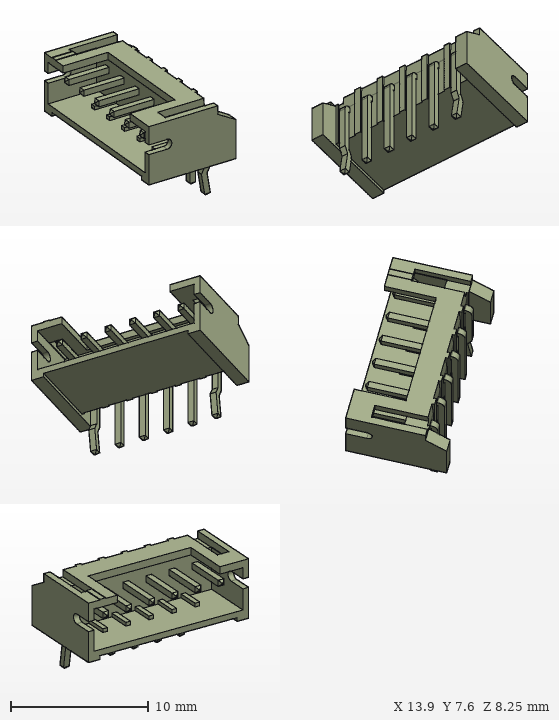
import cadquery as cq


width = 13.9
shroud_depth = 6.0
total_depth = 7.6
height = 4.8
foot_width = 1.0
foot_height = 0.3

back_top_y = 5.8
back_bottom_y = 5.9
back_lean_z = 3.5
back_corner_width = 1.2

arm_width = foot_width
arm_front_height = 4.1
arm_rear_height = 3.2

wall = 0.5
cavity_floor = 0.8
roof_thickness = 0.6
cavity_ceiling = height - roof_thickness
cavity_depth = 4.2

notch_width = 8.9
notch_depth = 3.9
channel_inner_x = 5.4
channel_outer_x = 6.4
channel_front_y = 1.8

slot_bottom = 2.5
slot_top = 3.3
slot_depth = 2.0

floor_rib_width = 0.4
floor_rib_height = 0.3
floor_rib_front_y = 2.32
back_rib_width = 0.5

marker_center_x = -5.7
marker_width = 0.5
marker_height = 0.05

pin_count = 6
pitch = 2.0
pin_size = 0.5
pin_center_z = 3.1
pin_front_y = 0.5
pin_tip_z = -3.4
taper_length = 0.2
tip_size = 0.1
leg_front_y = 6.0
kink_start_z = -0.92
kink_peak_z = -1.5
kink_offset = 0.31
kink_tip_offset = 0.03
bend_radius = 0.53

leg_rear_y = leg_front_y + pin_size
leg_taper_z = pin_tip_z + taper_length
pin_top_z = pin_center_z + pin_size / 2
pin_bottom_z = pin_center_z - pin_size / 2


def box(x0, x1, y0, y1, z0, z1):
    """Block between the given limits."""
    return cq.Workplane("XY").box(x1 - x0, y1 - y0, z1 - z0, centered=False).translate((x0, y0, z0))


def centered_box(x, size_x, y0, y1, z0, z1):
    """Block of width size_x centred on x."""
    return box(x - size_x / 2, x + size_x / 2, y0, y1, z0, z1)


def side_profile(points, x0, x1):
    """Closed (y, z) outline extruded from x0 to x1."""
    return cq.Workplane("YZ").workplane(offset=x0).polyline(points).close().extrude(x1 - x0)


def both_sides(shape):
    """The shape together with its mirror image in X."""
    return shape.union(shape.mirror("YZ"))


def row_positions(count):
    """X positions of evenly pitched items centred on the row."""
    return [(i - (count - 1) / 2) * pitch for i in range(count)]


def make_shell():
    """Solid shroud block with feet, rear corners and rear arms."""
    half = width / 2
    core_outline = [
        (0, foot_height),
        (back_bottom_y, foot_height),
        (back_bottom_y, back_lean_z),
        (back_top_y, height),
        (0, height),
    ]
    shell = side_profile(core_outline, -half, half)
    foot = box(half - foot_width, half, 0, shroud_depth, 0, cavity_floor)
    corner = box(half - back_corner_width, half, cavity_depth, shroud_depth, foot_height, height)
    arm_outline = [
        (cavity_depth, 0),
        (total_depth, 0),
        (total_depth, arm_rear_height),
        (shroud_depth, arm_front_height),
        (cavity_depth, arm_front_height),
    ]
    arm = side_profile(arm_outline, half - arm_width, half)
    return shell.union(both_sides(foot.union(corner).union(arm)))


def cut_openings(shell):
    """Remove the cavity, the roof notch, the roof channels and the side slots."""
    half = width / 2
    cavity = centered_box(0, width - 2 * wall, 0, cavity_depth, cavity_floor, cavity_ceiling)
    notch = centered_box(0, notch_width, 0, notch_depth, cavity_ceiling, height)
    channel = box(channel_inner_x, channel_outer_x, channel_front_y, shroud_depth, cavity_ceiling, height)
    radius = (slot_top - slot_bottom) / 2
    slot = (
        cq.Workplane("YZ")
        .workplane(offset=half - wall)
        .moveTo(0, slot_bottom)
        .lineTo(slot_depth - radius, slot_bottom)
        .threePointArc((slot_depth, slot_bottom + radius), (slot_depth - radius, slot_top))
        .lineTo(0, slot_top)
        .close()
        .extrude(wall)
    )
    return shell.cut(cavity).cut(notch).cut(both_sides(channel.union(slot)))


def add_ribs(housing):
    """Add a floor rib and a back-wall rib between each pair of neighbouring pins."""
    floor_rib_top = cavity_floor + floor_rib_height
    for x in row_positions(pin_count - 1):
        floor_rib = centered_box(
            x, floor_rib_width, floor_rib_front_y, cavity_depth, cavity_floor, floor_rib_top
        )
        back_rib = centered_box(x, back_rib_width, cavity_depth, shroud_depth, foot_height, height)
        housing = housing.union(floor_rib).union(back_rib)
    return housing


def add_marker(housing):
    """Add the first-pin bar on the roof."""
    marker_top = height + marker_height
    marker = centered_box(marker_center_x, marker_width, 0, channel_front_y, height, marker_top)
    return housing.union(marker)


def make_tip(plane):
    """Tapered pin end, extruded along the normal of a plane at the base of the taper."""
    return plane.rect(pin_size, pin_size).workplane(offset=taper_length).rect(tip_size, tip_size).loft()


def make_pin(x, kinked):
    """Right-angle pin; a kinked leg bulges forward to grip the board."""
    tip_shift = kink_tip_offset if kinked else 0
    front = [(leg_front_y - tip_shift, leg_taper_z)]
    rear = [(leg_rear_y - tip_shift, leg_taper_z)]
    if kinked:
        front += [(leg_front_y - kink_offset, kink_peak_z), (leg_front_y, kink_start_z)]
        rear += [(leg_rear_y - kink_offset, kink_peak_z), (leg_rear_y, kink_start_z)]
    taper_y = pin_front_y + taper_length
    pin = (
        cq.Workplane("YZ")
        .workplane(offset=x - pin_size / 2)
        .polyline(front + [(leg_front_y, pin_bottom_z), (taper_y, pin_bottom_z), (taper_y, pin_top_z)])
        .lineTo(leg_rear_y - bend_radius, pin_top_z)
        .radiusArc((leg_rear_y, pin_top_z - bend_radius), bend_radius)
        .polyline(rear[::-1], includeCurrent=True)
        .close()
        .extrude(pin_size)
    )
    front_base = cq.Workplane("XZ", origin=(x, taper_y, pin_center_z))
    leg_base = cq.Workplane("XY", origin=(x, leg_front_y - tip_shift + pin_size / 2, leg_taper_z))
    leg_base = leg_base.transformed(rotate=(180, 0, 0))
    return pin.union(make_tip(front_base)).union(make_tip(leg_base))


def add_pins(housing):
    """Add the row of pins; only the two end pins have kinked legs."""
    positions = row_positions(pin_count)
    for x in positions:
        at_row_end = x in (positions[0], positions[-1])
        housing = housing.union(make_pin(x, at_row_end))
    return housing


housing = cut_openings(make_shell())
result = add_pins(add_marker(add_ribs(housing)))